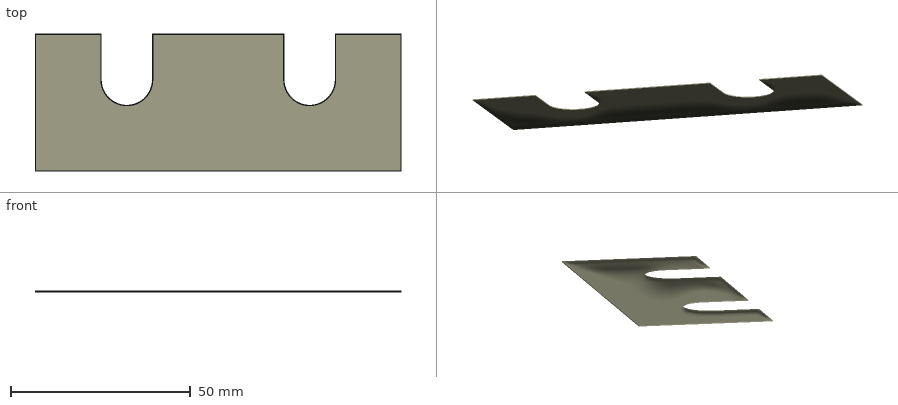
import cadquery as cq

INCH = 25.4
length = 4 * INCH
width = 1.5 * INCH
thickness = 0.01 * INCH

slot_spacing = length / 2
slot_width = 9 / 16 * INCH
slot_radius = slot_width / 2
slot_straight_depth = 0.5 * INCH


def make_plate():
    return cq.Workplane("XY").rect(length, width).extrude(thickness)


def make_slot(center_x):
    """U-shaped cutter, open at the +Y edge with a round inner end."""
    edge_y = width / 2
    round_center_y = edge_y - slot_straight_depth
    left_x = center_x - slot_radius
    right_x = center_x + slot_radius
    return (
        cq.Workplane("XY")
        .moveTo(left_x, edge_y)
        .lineTo(left_x, round_center_y)
        .threePointArc((center_x, round_center_y - slot_radius), (right_x, round_center_y))
        .lineTo(right_x, edge_y)
        .close()
        .extrude(thickness)
    )


result = make_plate()
for side in (-1, 1):
    result = result.cut(make_slot(side * slot_spacing / 2))